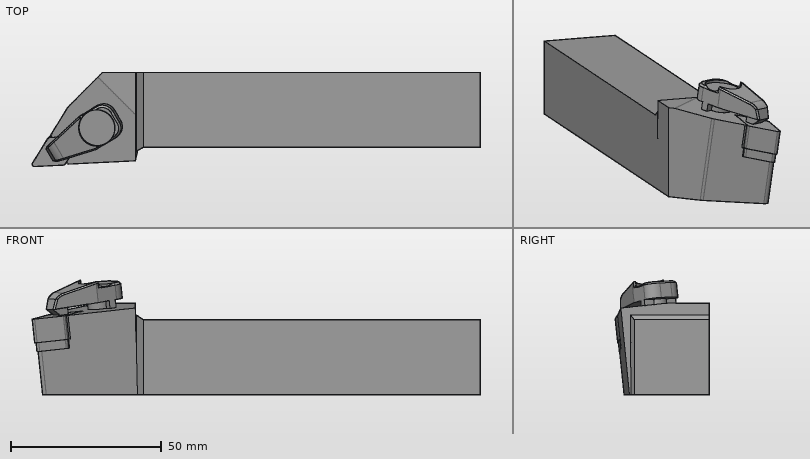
import cadquery as cq
import math

tool_length = 149.32
shank_size = 25.0
shank_start_x = 37.1

corner_x = -0.68
corner_y = -6.49
cutting_height = 25.0
edge_angle = 3.0
nose_angle = 55.0
half_angle = math.radians(nose_angle / 2)
bisector_angle = math.radians(edge_angle + nose_angle / 2)

rake_slope = math.tan(math.radians(6.0))
rake_normal = cq.Vector(-rake_slope, -rake_slope, 1.0)

insert_edge = 11.6
insert_thickness = 7.94
insert_nose_radius = 0.8
shim_thickness = 3.0
shim_inset = 0.2
shim_nose_radius = 0.9
insert_relief_radius = 1.2
shim_relief_radius = 0.6

head_top_z = 30.52
head_back_top_x = 34.4
head_back_bottom_x = 35.1
head_inset = 0.25
head_nose_radius = 1.2
head_nose_point = (2.0, -4.0, 5.0)
head_wedge_length = 70.0
head_depth = 45.0
angled_side_start_x = 23.5
angled_side_angle = 45.0
side_blend_radius = 4.5
side_blend_point = (13.2, 14.7, 14.5)

neck_rise = 1.6
neck_overhang = 1.3
neck_overlap = 0.4
neck_end_x = head_back_bottom_x - neck_overlap

pad_from_corner = 27.2
pad_side_offset = 0.2
pad_radius = 6.0
pad_height = 7.3
rear_height = 8.15
clamp_underside = 2.6
clamp_half_width = 6.1
clamp_rear = 7.4
clamp_rear_radius = 4.0
clamp_shoulder = -3.8
ramp_end = -3.0
ramp_end_height = 9.6
ramp_start = -15.0
ramp_start_height = 7.3
nose_half_width = 2.7
nose_tip = -19.2
nose_top = -17.9
nose_top_height = 5.6
nose_underside = 2.3
edge_chamfer = 0.5
rear_chamfer = 0.7
foot_front = -16.6
foot_back = -13.5
foot_half_width = 2.3
screw_radius = 3.8
screw_depth = 1.0
leg_front = 0.5
leg_back = 2.9
tolerance = 0.01


def rake_plane(along=0.0, across=0.0, height=0.0):
    """Plane parallel to the rake plane; its local x runs along the corner bisector."""
    cos_b = math.cos(bisector_angle)
    sin_b = math.sin(bisector_angle)
    plane = cq.Plane(
        origin=(corner_x, corner_y, cutting_height),
        xDir=(cos_b, sin_b, rake_slope * (cos_b + sin_b)),
        normal=rake_normal,
    )
    plane.origin = plane.toWorldCoords((along, across, height))
    return plane


def clamp_plane(height=0.0):
    """Plane parallel to the rake plane, centred on the pad axis."""
    return rake_plane(pad_from_corner, pad_side_offset, height)


def rhombus_prism(inset, top, thickness):
    """Prism with the insert's rhombus, its cutting edges moved in by the inset."""
    start = inset / math.sin(half_angle)
    middle = insert_edge * math.cos(half_angle)
    end = 2 * middle - start
    half_width = (middle - start) * math.tan(half_angle)
    return (
        cq.Workplane(rake_plane(height=top))
        .polyline([(start, 0), (middle, -half_width), (end, 0), (middle, half_width)])
        .close()
        .extrude(-thickness)
    )


def round_corners(prism, radius):
    return prism.edges(cq.selectors.ParallelDirSelector(rake_normal)).fillet(radius)


def pocket(relief_radius, top, thickness):
    """Seat with the insert's outline and a round relief at each of its wide corners."""
    wide_x = insert_edge * math.cos(half_angle)
    wide_y = insert_edge * math.sin(half_angle)
    reliefs = (
        cq.Workplane(rake_plane(height=top))
        .pushPoints([(wide_x, -wide_y), (wide_x, wide_y)])
        .circle(relief_radius)
        .extrude(-thickness)
    )
    return rhombus_prism(0, top, thickness).union(reliefs)


def make_insert():
    return round_corners(rhombus_prism(0, 0, insert_thickness), insert_nose_radius)


def make_shim():
    return round_corners(rhombus_prism(shim_inset, -insert_thickness, shim_thickness), shim_nose_radius)


def make_shank():
    return cq.Workplane("XY", origin=(shank_start_x, 0, 0)).box(
        tool_length - shank_start_x, shank_size, shank_size, centered=False
    )


def make_neck():
    return (
        cq.Workplane("YZ", origin=(shank_start_x, 0, 0))
        .rect(shank_size, shank_size, centered=False)
        .workplane(offset=neck_end_x - shank_start_x)
        .center(-neck_overhang, 0)
        .rect(shank_size + neck_overhang, shank_size + neck_rise, centered=False)
        .loft(ruled=True)
    )


def make_head():
    """Wedge square to the rake plane, trimmed by the flat top, the back and the angled side."""
    wedge_start = head_inset / math.sin(half_angle)
    half_spread = (head_wedge_length - wedge_start) * math.tan(half_angle)
    wedge = (
        cq.Workplane(rake_plane())
        .polyline(
            [(wedge_start, 0), (head_wedge_length, -half_spread), (head_wedge_length, half_spread)]
        )
        .close()
        .extrude(-head_depth)
        .edges(cq.selectors.NearestToPointSelector(head_nose_point))
        .fillet(head_nose_radius)
    )

    side_outline = (
        cq.Workplane("XZ", origin=(0, shank_size, 0))
        .polyline(
            [
                (corner_x, 0),
                (head_back_bottom_x, 0),
                (head_back_top_x, head_top_z),
                (corner_x, head_top_z),
            ]
        )
        .close()
        .extrude(shank_size - corner_y)
    )

    angled_run = (shank_size - corner_y) / math.tan(math.radians(angled_side_angle))
    plan_outline = (
        cq.Workplane("XY")
        .polyline(
            [
                (angled_side_start_x, shank_size),
                (angled_side_start_x - angled_run, corner_y),
                (tool_length, corner_y),
                (tool_length, shank_size),
            ]
        )
        .close()
        .extrude(head_top_z)
    )
    head = wedge.intersect(side_outline).intersect(plan_outline)
    head = head.edges(cq.selectors.NearestToPointSelector(side_blend_point)).fillet(side_blend_radius)

    head = head.cut(pocket(insert_relief_radius, 0, insert_thickness))
    return head.cut(pocket(shim_relief_radius, -insert_thickness, shim_thickness))


def clamp_side_profile():
    """Workplane seen along the clamp's width, centred on the pad axis at the rake plane."""
    base = clamp_plane()
    return cq.Workplane(cq.Plane(origin=base.origin, xDir=base.xDir, normal=-base.yDir))


def make_clamp_block():
    """Nose, ramp and rear block: the side profile cut to the plan outline."""
    profile = (
        clamp_side_profile()
        .moveTo(ramp_end, rear_height)
        .lineTo(ramp_end, ramp_end_height)
        .lineTo(ramp_start, ramp_start_height)
        .tangentArcPoint((nose_top, nose_top_height), relative=False)
        .lineTo(nose_tip, nose_underside)
        .lineTo(clamp_shoulder, clamp_underside)
        .lineTo(clamp_rear, clamp_underside)
        .lineTo(clamp_rear, rear_height)
        .close()
        .extrude(clamp_half_width, both=True)
    )
    rear_corner_x = clamp_rear - clamp_rear_radius
    rear_corner_y = clamp_half_width - clamp_rear_radius
    plan = (
        cq.Workplane(clamp_plane())
        .moveTo(nose_tip, -nose_half_width)
        .lineTo(clamp_shoulder, -clamp_half_width)
        .lineTo(rear_corner_x, -clamp_half_width)
        .radiusArc((clamp_rear, -rear_corner_y), -clamp_rear_radius)
        .lineTo(clamp_rear, rear_corner_y)
        .radiusArc((rear_corner_x, clamp_half_width), -clamp_rear_radius)
        .lineTo(clamp_shoulder, clamp_half_width)
        .lineTo(nose_tip, nose_half_width)
        .close()
        .extrude(ramp_end_height)
    )
    return profile.intersect(plan)


def is_ramp_side(edge):
    """True for the edges that border the ramp and the nose on both sides."""
    plane = clamp_plane()
    center = plane.toLocalCoords(edge.Center())
    start = plane.toLocalCoords(edge.startPoint())
    end = plane.toLocalCoords(edge.endPoint())
    beside = abs(center.y) > nose_half_width - tolerance
    on_top = center.x < ramp_end - tolerance and center.z > clamp_underside + tolerance
    upright = abs(end.x - start.x) < tolerance
    return beside and on_top and not upright


def is_rear_rim(edge):
    """True for the outer edges of the rear block's top."""
    center = clamp_plane().toLocalCoords(edge.Center())
    return abs(center.z - rear_height) < tolerance and center.x > ramp_end + tolerance


def chamfer_where(body, is_wanted, size):
    wanted = [edge for edge in body.edges().vals() if is_wanted(edge)]
    return body.newObject(wanted).chamfer(size)


def clamp_cylinder(radius, bottom, top):
    return cq.Workplane(clamp_plane(bottom)).circle(radius).extrude(top - bottom)


def make_foot():
    """Small foot with a sloped front that presses on the insert."""
    return (
        clamp_side_profile()
        .moveTo(foot_front, 0)
        .lineTo(nose_tip, nose_underside)
        .lineTo(foot_back, clamp_underside)
        .lineTo(foot_back, 0)
        .close()
        .extrude(foot_half_width, both=True)
    )


def make_leg():
    """Cross bar on which the rear of the clamp stands."""
    return (
        cq.Workplane(clamp_plane())
        .center((leg_front + leg_back) / 2, 0)
        .rect(leg_back - leg_front, 2 * clamp_half_width)
        .extrude(clamp_underside)
    )


def make_clamp():
    block = make_clamp_block()
    block = chamfer_where(block, is_ramp_side, edge_chamfer)
    block = chamfer_where(block, is_rear_rim, rear_chamfer)
    block = block.cut(clamp_cylinder(pad_radius, pad_height, ramp_end_height))
    screw = clamp_cylinder(screw_radius, -screw_depth, clamp_underside)
    return block.union(make_foot()).union(make_leg()).union(screw)


holder = make_shank().union(make_neck()).union(make_head()).union(make_shim()).union(make_clamp())
insert = make_insert()

result = cq.Compound.makeCompound([holder.solids().val(), insert.val()])